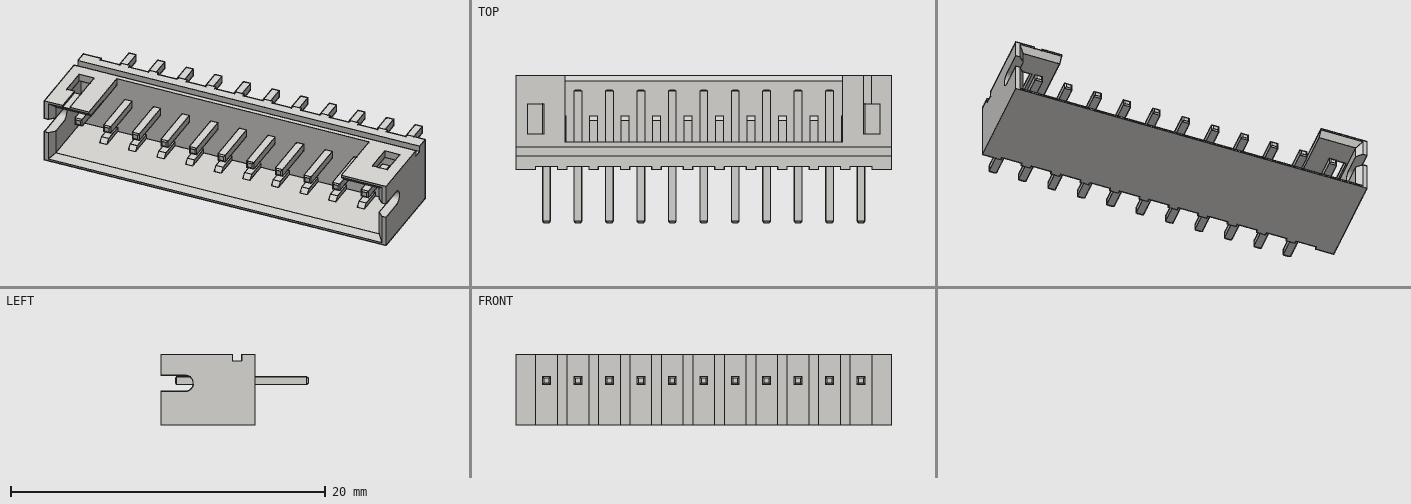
import cadquery as cq


length = 23.9
depth = 6.0
height = 4.5
plate_wall = 0.5
end_wall = 0.65
cavity_depth = 4.25
mouth_chamfer = 0.35
window_width = 17.65

pin_count = 11
pin_row_length = 20.0
pin_pitch = pin_row_length / (pin_count - 1)
pin_size = 0.5
pin_z = 2.82
pin_tail = 3.4
pin_tip_gap = 0.93
tail_tip_length = 0.12
mating_tip_length = 0.07
pin_tip_inset = 0.1

rib_width = 0.5
rib_setback = 2.58
rib_height = 0.29

recess_width = 1.39
recess_depth = 0.2

top_groove_near = 0.85
top_groove_far = 1.43
top_groove_depth = 0.4

side_slot_z = 2.65
side_slot_width = 1.0
side_slot_depth = 2.05

latch_inner_x = 10.15
latch_width = 1.05
latch_length = 1.91
latch_setback = 1.82
mark_width = 0.5
mark_depth = 0.12

cavity_end_y = depth - cavity_depth
cavity_length = length - 2 * end_wall
cavity_height = height - 2 * plate_wall
pin_xs = [i * pin_pitch - pin_row_length / 2 for i in range(pin_count)]


def block(x0, x1, y0, y1, z0, z1):
    """Box given by its limits along each axis."""
    return cq.Workplane("XY").box(x1 - x0, y1 - y0, z1 - z0, centered=False).translate((x0, y0, z0))


def mating_cavity():
    """Pocket open at the mouth, flared by a chamfer around its rim."""
    pocket = block(
        -cavity_length / 2, cavity_length / 2,
        cavity_end_y, depth,
        plate_wall, height - plate_wall,
    )
    flare = (
        cq.Workplane("XZ", origin=(0, depth, height / 2))
        .rect(cavity_length + 2 * mouth_chamfer, cavity_height + 2 * mouth_chamfer)
        .workplane(offset=mouth_chamfer)
        .rect(cavity_length, cavity_height)
        .loft(ruled=True)
    )
    return pocket.union(flare)


def side_slots():
    """Round-ended slot passing through both end walls."""
    radius = side_slot_width / 2
    center_y = depth - side_slot_depth + radius
    straight = block(
        -length / 2, length / 2,
        center_y, depth,
        side_slot_z - radius, side_slot_z + radius,
    )
    round_end = (
        cq.Workplane("YZ", origin=(-length / 2, center_y, side_slot_z))
        .circle(radius)
        .extrude(length)
    )
    return straight.union(round_end)


def latch_hole(inner_x, outer_x):
    """Rectangular hole through the top wall into the cavity."""
    far_y = depth - latch_setback
    return block(
        min(inner_x, outer_x), max(inner_x, outer_x),
        far_y - latch_length, far_y,
        height - plate_wall, height,
    )


def rib(x):
    """Floor rib whose front end slopes down to the cavity floor."""
    end_y = depth - rib_setback
    return (
        cq.Workplane("YZ", origin=(x - rib_width / 2, 0, plate_wall))
        .moveTo(cavity_end_y, 0)
        .lineTo(end_y, 0)
        .lineTo(end_y - rib_height, rib_height)
        .lineTo(cavity_end_y, rib_height)
        .close()
        .extrude(rib_width)
    )


def pin(x):
    """Square pin through the shroud, tapered at both ends."""
    start_y = -pin_tail
    end_y = depth - pin_tip_gap
    tip_size = pin_size - 2 * pin_tip_inset
    shank = block(
        x - pin_size / 2, x + pin_size / 2,
        start_y + tail_tip_length, end_y - mating_tip_length,
        pin_z - pin_size / 2, pin_z + pin_size / 2,
    )
    for face, tip_length in (("<Y", tail_tip_length), (">Y", mating_tip_length)):
        taper = (
            shank.faces(face).workplane(centerOption="CenterOfMass")
            .rect(pin_size, pin_size)
            .workplane(offset=tip_length)
            .rect(tip_size, tip_size)
            .loft(ruled=True, combine=False)
        )
        shank = shank.union(taper)
    return shank


shroud = block(-length / 2, length / 2, 0, depth, 0, height).cut(mating_cavity())
shroud = shroud.cut(block(
    -window_width / 2, window_width / 2,
    cavity_end_y, depth,
    height - plate_wall, height,
))
shroud = shroud.cut(block(
    -length / 2, length / 2,
    top_groove_near, top_groove_far,
    height - top_groove_depth, height,
))
shroud = shroud.cut(side_slots())

latch_outer_x = latch_inner_x + latch_width
for side in (-1, 1):
    shroud = shroud.cut(latch_hole(side * latch_inner_x, side * latch_outer_x))
shroud = shroud.cut(block(
    latch_inner_x, latch_inner_x + mark_width,
    depth - latch_setback, depth,
    height - mark_depth, height,
))

for x in pin_xs:
    shroud = shroud.cut(block(
        x - recess_width / 2, x + recess_width / 2,
        0, recess_depth,
        0, height,
    ))

for x in pin_xs[:-1]:
    shroud = shroud.union(rib(x + pin_pitch / 2))
for x in pin_xs:
    shroud = shroud.union(pin(x))

result = shroud